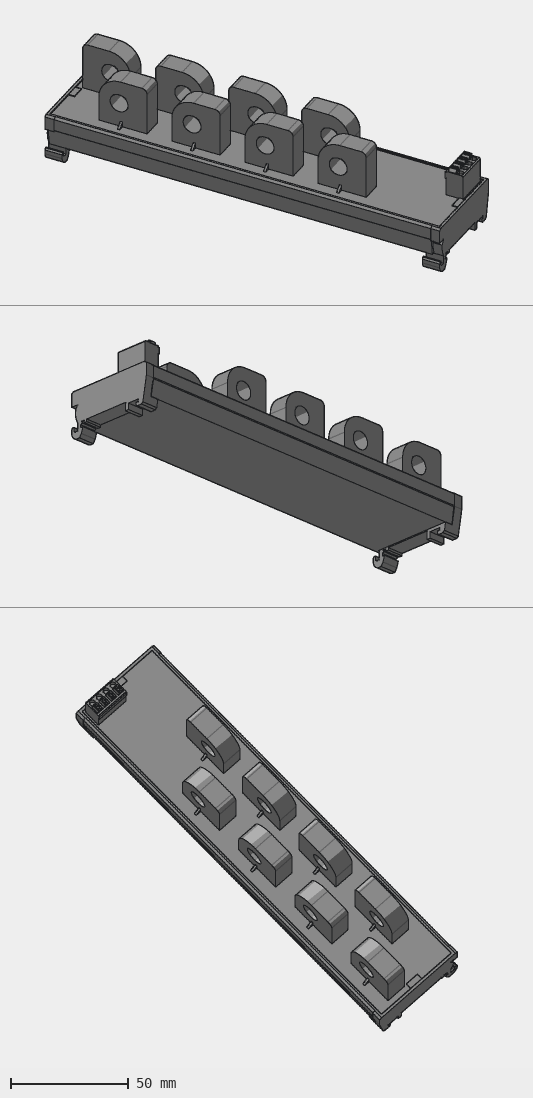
import cadquery as cq


length = 189.0
width = 45.0
height = 44.8
half_length = length / 2
half_width = width / 2
rim_top = 22.9
board_top = 22.3
lip_width = 2.3
slope_top = 16.0
slope = 0.18

rail_inset = 0.2
rail_chamfer_drop = 1.0
rail_chamfer_in = 1.3
rail_ledge = 0.4
rail_bottom = 8.0

cap_bottom = 7.4
cap_chamfer_drop = 0.8
cap_chamfer_in = 1.1
cap_length = 4.3
foot_length = 8.3
cap_wall = 1.3
board_tab_length = 2.8
board_tab_width = 6.5
board_tab_top = 22.7

ct_length = 23.0
ct_depth = 9.5
ct_large_radius = 10.4
ct_small_radius = 2.5
ct_hole_diameter = 8.5
ct_hole_height = 33.8
ct_hole_offset = 9.6
ct_pitch = 35.0
ct_count = 4
back_row_start = -90.5
back_row_y = 9.3
front_row_start = -73.0
front_row_y = -9.5
rib_width = 1.1
rib_reach = 2.6
rib_height = 2.5
rib_offset = 10.8

terminal_left = 84.0
terminal_right = 92.2
terminal_front = 3.2
terminal_back = 19.3
terminal_top = 34.2
bead_bottom = 30.6
bead_top = 33.6
bead_reach = 0.5
terminal_chamfer = 0.5
pole_count = 4
pole_pitch = 4.0
button_left = 85.0
button_length = 3.5
button_base = 3.2
button_crest = 2.0
button_top = 35.9
button_slot = 0.8
button_slot_depth = 1.0
button_cross = 1.3
entry_left = 88.8
entry_width = 2.5
entry_straight = 1.3
entry_depth = 2.8


def taper_y(z):
    """Distance of the tapered side from the centre plane at height z."""
    return half_width - slope * (slope_top - z)


def box_between(x0, x1, y0, y1, z0, z1):
    return cq.Workplane("XY").box(x1 - x0, y1 - y0, z1 - z0, centered=False).translate((x0, y0, z0))


def make_rail():
    """Solid rail body running between the caps, with chamfered rims and tapered sides."""
    side = half_width - rail_inset
    half = [
        (half_width - rail_chamfer_in, rim_top),
        (side, rim_top - rail_chamfer_drop),
        (side, slope_top + rail_ledge),
        (side - rail_ledge, slope_top),
        (taper_y(rail_bottom) - rail_inset, rail_bottom),
    ]
    mirrored = [(-y, z) for y, z in reversed(half)]
    return (
        cq.Workplane("YZ")
        .workplane(offset=cap_wall - half_length)
        .polyline(half + mirrored)
        .close()
        .extrude(length - cap_wall - cap_length)
    )


FIXED_HOOK = [
    (taper_y(4.2), 4.2),
    (19.5, 3.4),
    (16.8, 3.4),
    (16.2, 4.0),
    (16.2, 5.3),
    (17.4, 5.3),
    (17.4, 6.5),
    (11.7, 6.5),
    (11.7, 3.4),
    (9.8, 3.4),
    (9.8, cap_bottom),
]
LATCH_SPRING = [
    (-13.5, cap_bottom),
    (-13.5, 6.2),
    (-15.1, 6.2),
    (-15.1, cap_bottom),
    (-16.6, cap_bottom),
    (-16.0, 6.5),
    (-17.0, 5.9),
    (-17.0, 4.7),
    (-15.7, 4.5),
    (-16.6, 1.7),
    (-17.8, 0),
    (-19.7, 0),
]
LATCH_CURVE_MIDDLE = (-21.5, 1.1)
LATCH_FINGER = [
    (-half_width, 3.4),
    (-half_width, 5.3),
    (-22.0, 6.0),
    (-21.2, 6.0),
    (-21.2, 4.2),
    (-20.6, 3.5),
    (-18.9, 3.5),
    (-18.9, cap_bottom),
]
RELIEF_CURVE_MIDDLE = (-20.0, 10.4)
RELIEF_TOP = [
    (-20.2, 13.6),
    (-18.9, 15.9),
    (-half_width, 15.9),
]


def make_end_cap():
    """Left end cap: profiled plate whose hooks below the body are a little longer."""
    upper_edge = [
        (-half_width, rim_top - cap_chamfer_drop),
        (cap_chamfer_in - half_width, rim_top),
        (half_width - cap_chamfer_in, rim_top),
        (half_width, rim_top - cap_chamfer_drop),
        (half_width, slope_top),
    ]
    blank = (
        cq.Workplane("YZ")
        .workplane(offset=-half_length)
        .polyline(upper_edge + FIXED_HOOK + LATCH_SPRING)
        .threePointArc(LATCH_CURVE_MIDDLE, LATCH_FINGER[0])
        .polyline(LATCH_FINGER[1:], includeCurrent=True)
        .threePointArc(RELIEF_CURVE_MIDDLE, RELIEF_TOP[0])
        .polyline(RELIEF_TOP[1:], includeCurrent=True)
        .close()
        .extrude(foot_length)
    )
    behind_plate = box_between(
        cap_length - half_length, foot_length - half_length, -half_width, half_width, rail_bottom, rim_top
    )
    return blank.cut(behind_plate)


def make_carrier():
    """Rail and caps with the board recess and the two tabs that hold the board ends."""
    left_cap = make_end_cap()
    right_cap = left_cap.mirror("YZ")
    wall_x = half_length - cap_wall
    wall_y = half_width - lip_width
    recess = box_between(-wall_x, wall_x, -wall_y, wall_y, board_top, rim_top)
    carrier = make_rail().union(left_cap).union(right_cap).cut(recess)
    for x0 in (-wall_x, wall_x - board_tab_length):
        tab = box_between(
            x0, x0 + board_tab_length, -board_tab_width / 2, board_tab_width / 2, board_top, board_tab_top
        )
        carrier = carrier.union(tab)
    return carrier


def make_transformer():
    """Transformer with its large-radius end at X = 0, body toward +X, centred on Y = 0."""
    body = box_between(0, ct_length, -ct_depth / 2, ct_depth / 2, board_top, height)
    body = body.edges("|Y and <X and >Z").fillet(ct_large_radius)
    body = body.edges("|Y and >X and >Z").fillet(ct_small_radius)
    hole = (
        cq.Workplane("XZ")
        .center(ct_hole_offset, ct_hole_height)
        .circle(ct_hole_diameter / 2)
        .extrude(ct_depth / 2, both=True)
    )
    outer = ct_depth / 2 + rib_reach
    ribs = (
        cq.Workplane("YZ")
        .workplane(offset=rib_offset - rib_width / 2)
        .polyline([(-outer, board_top), (outer, board_top), (0, board_top + rib_height * outer / rib_reach)])
        .close()
        .extrude(rib_width)
    )
    return body.union(ribs).cut(hole)


def make_transformers():
    """Two staggered rows; the back row is turned so its large radius faces +X."""
    unit = make_transformer()
    turned = unit.mirror("YZ").translate((ct_length, 0, 0))
    group = cq.Workplane("XY")
    for i in range(ct_count):
        shift = i * ct_pitch
        group = group.union(turned.translate((back_row_start + shift, back_row_y, 0)))
        group = group.union(unit.translate((front_row_start + shift, front_row_y, 0)))
    return group


def make_button():
    """Release button of one pole: a trapezoidal ridge with a cross-shaped slot, centred on Y = 0."""
    ridge = (
        cq.Workplane("YZ")
        .workplane(offset=button_left)
        .polyline([
            (-button_base / 2, terminal_top),
            (button_base / 2, terminal_top),
            (button_crest / 2, button_top),
            (-button_crest / 2, button_top),
        ])
        .close()
        .extrude(button_length)
    )
    floor = button_top - button_slot_depth
    middle = button_left + button_length / 2
    half_slot = button_slot / 2
    half_cross = button_cross / 2
    along = box_between(
        button_left, button_left + button_length, -half_slot, half_slot, floor, button_top
    )
    across = box_between(
        middle - half_slot, middle + half_slot, -half_cross, half_cross, floor, button_top
    )
    return ridge.cut(along).cut(across)


def make_wire_entry():
    """Cutter for one D-shaped wire entry, centred on Y = 0."""
    half = entry_width / 2
    round_start = entry_left + entry_straight
    return (
        cq.Workplane("XY")
        .workplane(offset=terminal_top - entry_depth)
        .moveTo(entry_left, -half)
        .lineTo(round_start, -half)
        .threePointArc((round_start + half, 0), (round_start, half))
        .lineTo(entry_left, half)
        .close()
        .extrude(entry_depth)
    )


def make_terminal_block():
    """Four-pole terminal block standing at the right end of the board."""
    block = box_between(
        terminal_left, terminal_right, terminal_front, terminal_back, board_top, terminal_top
    )
    block = block.edges("|Y and >X and >Z").chamfer(terminal_chamfer)
    bead = box_between(
        terminal_left - bead_reach, terminal_left, terminal_front, terminal_back, bead_bottom, bead_top
    )
    block = block.union(bead)
    middle_y = (terminal_front + terminal_back) / 2
    for i in range(pole_count):
        y = middle_y + (i - (pole_count - 1) / 2) * pole_pitch
        block = block.union(make_button().translate((0, y, 0)))
        block = block.cut(make_wire_entry().translate((0, y, 0)))
    return block


result = make_carrier().union(make_transformers()).union(make_terminal_block())